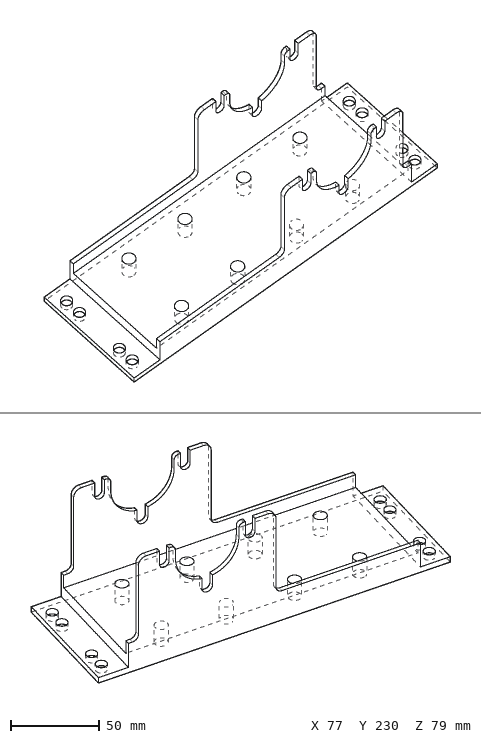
import cadquery as cq
import math

LENGTH = 230.0
WIDTH = 77.0
BASE_THICKNESS = 4.0
BASE_HOLE_DIAMETER = 7.0
BASE_HOLE_X = (17.0, 28.0)
BASE_HOLE_Y = 107.2

CHANNEL_LENGTH = 191.0
FLOOR_TOP = 12.0
WALL_THICKNESS = 3.0
RAIL_TOP = 21.0
FLOOR_HOLE_DIAMETER = 8.0
FLOOR_HOLE_X = 22.5
FLOOR_HOLE_Y = (22.3, 64.9)

TOTAL_HEIGHT = 79.0
CRADLE_LENGTH = 90.0
CRADLE_Y = 44.0
SHOULDER_RADIUS = 5.0
FOOT_RADIUS = 4.0

SADDLE_RADIUS = 20.7
SADDLE_CENTER_Z = 69.5
FINGER_RADIUS = 3.0
CENTER_SLOT_WIDTH = 7.0
CENTER_SLOT_BOTTOM = 38.5
SIDE_SLOT_WIDTH = 6.2
SIDE_SLOT_BOTTOM = 66.5
SIDE_SLOT_OFFSET = 28.0

CHANNEL_END = CHANNEL_LENGTH / 2
CRADLE_BACK = CRADLE_Y + CRADLE_LENGTH / 2
CRADLE_FRONT = CRADLE_Y - CRADLE_LENGTH / 2


def mirrored(offsets):
    """Return every offset together with its mirror image about zero."""
    return [sign * offset for offset in offsets for sign in (-1, 1)]


def grid(x_offsets, y_offsets):
    """Return points at every combination of the mirrored X and Y offsets."""
    return [(x, y) for x in mirrored(x_offsets) for y in mirrored(y_offsets)]


def round_slot(center_y, width, bottom):
    """Upright slot across both walls, open at the top with a round bottom."""
    radius = width / 2
    return (
        cq.Workplane("YZ")
        .moveTo(center_y - radius, TOTAL_HEIGHT)
        .lineTo(center_y - radius, bottom + radius)
        .threePointArc((center_y, bottom), (center_y + radius, bottom + radius))
        .lineTo(center_y + radius, TOTAL_HEIGHT)
        .close()
        .extrude(WIDTH / 2, both=True)
    )


def saddle():
    """U-shaped opening whose mouth flares out over the rounded finger tips."""
    half_mouth = SADDLE_RADIUS + FINGER_RADIUS
    flare_start = TOTAL_HEIGHT - FINGER_RADIUS
    flare_middle = FINGER_RADIUS * math.sin(math.pi / 4)
    return (
        cq.Workplane("YZ")
        .moveTo(-half_mouth, TOTAL_HEIGHT)
        .threePointArc(
            (-half_mouth + flare_middle, flare_start + flare_middle),
            (-SADDLE_RADIUS, flare_start),
        )
        .lineTo(-SADDLE_RADIUS, SADDLE_CENTER_Z)
        .threePointArc((0, SADDLE_CENTER_Z - SADDLE_RADIUS), (SADDLE_RADIUS, SADDLE_CENTER_Z))
        .lineTo(SADDLE_RADIUS, flare_start)
        .threePointArc(
            (half_mouth - flare_middle, flare_start + flare_middle),
            (half_mouth, TOTAL_HEIGHT),
        )
        .close()
        .extrude(WIDTH / 2, both=True)
        .translate((0, CRADLE_Y, 0))
    )


def cradle_corners(height):
    """Select what lies at the cradle's front and back sides near the given height."""
    margin = FOOT_RADIUS / 2
    return cq.selectors.BoxSelector(
        (-WIDTH, CRADLE_FRONT - margin, height - margin),
        (WIDTH, CRADLE_BACK + margin, height + margin),
    )


def channel():
    """U-channel: side profile across the full width, hollowed between the walls."""
    profile = (
        cq.Workplane("YZ")
        .polyline([
            (-CHANNEL_END, BASE_THICKNESS),
            (CHANNEL_END, BASE_THICKNESS),
            (CHANNEL_END, RAIL_TOP),
            (CRADLE_BACK, RAIL_TOP),
            (CRADLE_BACK, TOTAL_HEIGHT),
            (CRADLE_FRONT, TOTAL_HEIGHT),
            (CRADLE_FRONT, RAIL_TOP),
            (-CHANNEL_END, RAIL_TOP),
        ])
        .close()
        .extrude(WIDTH / 2, both=True)
    )
    profile = profile.edges("|X").edges(cradle_corners(TOTAL_HEIGHT)).fillet(SHOULDER_RADIUS)
    profile = profile.edges("|X").edges(cradle_corners(RAIL_TOP)).fillet(FOOT_RADIUS)
    inside = (
        cq.Workplane("XY", origin=(0, 0, FLOOR_TOP))
        .rect(WIDTH - 2 * WALL_THICKNESS, CHANNEL_LENGTH)
        .extrude(TOTAL_HEIGHT - FLOOR_TOP)
    )
    return profile.cut(inside)


def vertical_holes(diameter, points):
    """Cutters for through holes, from the underside of the base to the channel floor."""
    return cq.Workplane("XY").pushPoints(points).circle(diameter / 2).extrude(FLOOR_TOP)


base = cq.Workplane("XY").box(WIDTH, LENGTH, BASE_THICKNESS, centered=(True, True, False))

cradled_channel = channel().cut(saddle())
cradled_channel = cradled_channel.cut(round_slot(CRADLE_Y, CENTER_SLOT_WIDTH, CENTER_SLOT_BOTTOM))
for offset in mirrored([SIDE_SLOT_OFFSET]):
    side_slot = round_slot(CRADLE_Y + offset, SIDE_SLOT_WIDTH, SIDE_SLOT_BOTTOM)
    cradled_channel = cradled_channel.cut(side_slot)

result = (
    base.union(cradled_channel)
    .cut(vertical_holes(BASE_HOLE_DIAMETER, grid(BASE_HOLE_X, [BASE_HOLE_Y])))
    .cut(vertical_holes(FLOOR_HOLE_DIAMETER, grid([FLOOR_HOLE_X], FLOOR_HOLE_Y)))
)